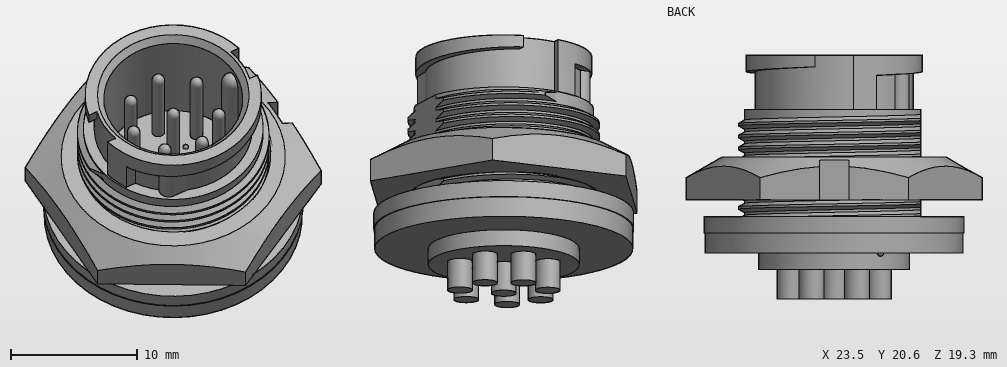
import cadquery as cq
import math

SHELL_TOP = 12.8
SHOULDER_Z = 8.5
SOCKET_FLOOR_Z = 3.5
RIM_BOTTOM = -1.3
FLANGE_BOTTOM = -2.9
INSERT_BOTTOM = -4.2
TAIL_BOTTOM = -6.54

RIM_RADIUS = 10.31
FLANGE_RADIUS = 10.24
INSERT_RADIUS = 5.99

LIP_RADIUS = 6.98
BARREL_RADIUS = 6.27
SOCKET_RADIUS = 5.5
SOCKET_CHAMFER = 0.5
NOTCH_WIDTH = 3.04

RAMP_PITCH = 1.8
RAMP_START_ANGLE = 110
RAMP_END_ANGLE = 265
RAMP_MID_Z = 11.48
RAMP_MARGIN = 1.0
STOP_FACE_X = 3.34
LUG_FACE_X = 5.93
LUG_CORNER_RADIUS = 0.79
LUG_CORNER_Y = 3.29

PITCH = 0.944
ROOT_RADIUS = 7.125
CREST_RADIUS = 7.6
CREST_WIDTH = 0.19
FLANK_SLOPE = math.tan(math.radians(30))
THREAD_TURNS = 9
THREAD_END_ANGLE = -80
THREAD_END_Z = 8.02
THREAD_FLAT_X = -6.87
THREAD_EMBED = 0.1

NUT_FLATS = 20.317
NUT_BOTTOM = 1.33
NUT_HEIGHT = 3.4
NUT_TOP_RADIUS = 8.88
NUT_BEVEL_SLOPE = math.tan(math.radians(30))
NUT_BORE_RADIUS = 7.5
NUT_GROOVE_RADIUS = 7.93
NUT_GROOVE_TURNS = 6
NUT_GROOVE_START_TURN = 1
NUT_NOTCH_WIDTH = 2.35
NUT_NOTCH_FLOOR_Y = 9.28

CONTACT_CIRCLE_RADIUS = 3.6
CONTACT_ANGLES = [-90 + 50 * step for step in range(-3, 4)]
PIN_RADIUS = 0.5
PIN_TIP_Z = 10.75
TAIL_RADIUS = 0.99
KEY_RADIUS = 0.75
KEY_Y = 5.26
KEY_TIP_Z = 11.88

MARK_ANGLE = 123
SOCKET_MARK_RADIUS = 0.22
SOCKET_MARK_CIRCLE = 2.12
FLANGE_MARK_RADIUS = 0.25
FLANGE_MARK_CIRCLE = 6.74

OVERSIZE = 30.0


def cylinder(radius, bottom, top, x=0, y=0):
    return cq.Workplane("XY", origin=(x, y, bottom)).circle(radius).extrude(top - bottom)


def block(x_range, y_range, z_range):
    (x0, x1), (y0, y1), (z0, z1) = x_range, y_range, z_range
    return cq.Workplane("XY").box(x1 - x0, y1 - y0, z1 - z0, centered=False).translate((x0, y0, z0))


def dome(radius, x, y, z):
    return cq.Workplane("XY").sphere(radius).translate((x, y, z))


def polar(radius, angle):
    return radius * math.cos(math.radians(angle)), radius * math.sin(math.radians(angle))


def turn_about_z(body, angle):
    return body.rotate((0, 0, 0), (0, 0, 1), angle)


def thread_helix(profile, start_turn, turns):
    """Sweep a (radius, height) profile along the thread, start_turn turns up from its lower end."""
    path = cq.Workplane("XY").add(cq.Wire.makeHelix(PITCH, PITCH * turns, ROOT_RADIUS))
    body = cq.Workplane("XZ").polyline(profile).close().sweep(path, isFrenet=True)
    start_z = THREAD_END_Z - PITCH * (THREAD_TURNS - start_turn)
    return turn_about_z(body, THREAD_END_ANGLE).translate((0, 0, start_z))


def flange_and_insert():
    rim = cylinder(RIM_RADIUS, RIM_BOTTOM, 0)
    flange = cylinder(FLANGE_RADIUS, FLANGE_BOTTOM, RIM_BOTTOM)
    insert = cylinder(INSERT_RADIUS, INSERT_BOTTOM, FLANGE_BOTTOM)
    x, y = polar(FLANGE_MARK_CIRCLE, MARK_ANGLE)
    mark = dome(FLANGE_MARK_RADIUS, x, y, FLANGE_BOTTOM)
    return rim.union(flange).union(insert).union(mark)


def thread_ridge():
    base_radius = ROOT_RADIUS - THREAD_EMBED
    half_crest = CREST_WIDTH / 2
    half_base = half_crest + (CREST_RADIUS - base_radius) * FLANK_SLOPE
    profile = [
        (base_radius, -half_base),
        (CREST_RADIUS, -half_crest),
        (CREST_RADIUS, half_crest),
        (base_radius, half_base),
    ]
    ridge = thread_helix(profile, 0, THREAD_TURNS)
    end_x, end_y = polar(ROOT_RADIUS, THREAD_END_ANGLE)
    runout = (
        cq.Workplane("XY", origin=(0, 0, THREAD_END_Z - PITCH / 2))
        .polyline([(0, -CREST_RADIUS), (2 * end_x, 2 * end_y + CREST_RADIUS), (2 * end_x, -CREST_RADIUS)])
        .close()
        .extrude(PITCH)
    )
    return ridge.cut(runout)


def threaded_section():
    section = cylinder(ROOT_RADIUS, RIM_BOTTOM, SHOULDER_Z).union(thread_ridge())
    flat = block((-OVERSIZE, THREAD_FLAT_X), (-OVERSIZE, OVERSIZE), (0, SHOULDER_Z))
    return section.cut(flat)


def ramp_recess():
    """Space under the lip on the -X side, its roof rising as a helical ramp from stop to notch."""
    turns = (RAMP_END_ANGLE - RAMP_START_ANGLE) / 360
    inner, outer = (
        cq.Wire.makeHelix(RAMP_PITCH, RAMP_PITCH * turns, radius).Edges()[0]
        for radius in (BARREL_RADIUS - RAMP_MARGIN, LIP_RADIUS + RAMP_MARGIN)
    )
    roof = cq.Face.makeRuledSurface(inner, outer)
    space = cq.Workplane("XY").add(cq.Solid.extrudeLinear(roof, cq.Vector(0, 0, -OVERSIZE)))
    start_z = RAMP_MID_Z - RAMP_PITCH * (180 - RAMP_START_ANGLE) / 360
    space = turn_about_z(space, RAMP_START_ANGLE).translate((0, 0, start_z))
    heights = (SHOULDER_Z, SHELL_TOP)
    stop_side = block((-OVERSIZE, -STOP_FACE_X), (0, OVERSIZE), heights)
    notch_side = block((-OVERSIZE, -NOTCH_WIDTH / 2), (-OVERSIZE, 0), heights)
    return space.intersect(stop_side.union(notch_side))


def bayonet_lug():
    """Raised pad on the -X side of the barrel, flat outside and rounded at its +Y corner."""
    corner_x = LUG_CORNER_RADIUS - LUG_FACE_X
    corner = cylinder(LUG_CORNER_RADIUS, SHOULDER_Z, SHELL_TOP, corner_x, LUG_CORNER_Y)
    pad = block((-LUG_FACE_X, corner_x), (0, LUG_CORNER_Y), (SHOULDER_Z, SHELL_TOP))
    return corner.union(pad)


def bayonet_collar():
    heights = (SHOULDER_Z, SHELL_TOP)
    lip = cylinder(LIP_RADIUS, *heights)
    lip = lip.cut(block((-NOTCH_WIDTH / 2, NOTCH_WIDTH / 2), (-OVERSIZE, OVERSIZE), heights))
    barrel = cylinder(BARREL_RADIUS, *heights)
    for angle in (0, 180):
        lip = lip.cut(turn_about_z(ramp_recess(), angle))
        barrel = barrel.union(turn_about_z(bayonet_lug(), angle))
    return lip.union(barrel)


def socket():
    bore = cylinder(SOCKET_RADIUS, SOCKET_FLOOR_Z, SHELL_TOP)
    mouth = (
        cq.Workplane("XY", origin=(0, 0, SHELL_TOP))
        .circle(SOCKET_RADIUS + SOCKET_CHAMFER)
        .workplane(offset=-SOCKET_CHAMFER)
        .circle(SOCKET_RADIUS)
        .loft()
    )
    return bore.union(mouth)


def round_ended_pin(radius, tip_z, x, y):
    shaft = cylinder(radius, SOCKET_FLOOR_Z, tip_z - radius, x, y)
    return shaft.union(dome(radius, x, y, tip_z - radius))


def make_connector():
    body = flange_and_insert().union(threaded_section()).union(bayonet_collar()).cut(socket())
    contacts = [(0, 0)] + [polar(CONTACT_CIRCLE_RADIUS, angle) for angle in CONTACT_ANGLES]
    for x, y in contacts:
        body = body.union(round_ended_pin(PIN_RADIUS, PIN_TIP_Z, x, y))
        body = body.union(cylinder(TAIL_RADIUS, TAIL_BOTTOM, INSERT_BOTTOM, x, y))
    body = body.union(round_ended_pin(KEY_RADIUS, KEY_TIP_Z, 0, KEY_Y))
    mark_x, mark_y = polar(SOCKET_MARK_CIRCLE, MARK_ANGLE)
    return body.union(dome(SOCKET_MARK_RADIUS, mark_x, mark_y, SOCKET_FLOOR_Z))


def make_nut():
    corner_radius = NUT_FLATS / 2 / math.cos(math.radians(30))
    top = NUT_BOTTOM + NUT_HEIGHT
    bevel_drop = (corner_radius - NUT_TOP_RADIUS) * NUT_BEVEL_SLOPE
    hexagon = (
        cq.Workplane("XY", origin=(0, 0, NUT_BOTTOM)).polygon(6, 2 * corner_radius).extrude(NUT_HEIGHT)
    )
    bevelled_round = (
        cq.Workplane("XZ")
        .polyline([
            (0, NUT_BOTTOM),
            (corner_radius, NUT_BOTTOM),
            (corner_radius, top - bevel_drop),
            (NUT_TOP_RADIUS, top),
            (0, top),
        ])
        .close()
        .revolve(360, (0, 0), (0, 1))
    )
    nut = hexagon.intersect(bevelled_round)
    base_radius = NUT_BORE_RADIUS - THREAD_EMBED
    half_base = (NUT_GROOVE_RADIUS - base_radius) * FLANK_SLOPE
    groove_profile = [(base_radius, -half_base), (NUT_GROOVE_RADIUS, 0), (base_radius, half_base)]
    groove = thread_helix(groove_profile, NUT_GROOVE_START_TURN, NUT_GROOVE_TURNS)
    nut = nut.cut(cylinder(NUT_BORE_RADIUS, 0, SHOULDER_Z).union(groove))
    half_notch = NUT_NOTCH_WIDTH / 2
    notch = block((-half_notch, half_notch), (NUT_NOTCH_FLOOR_Y, OVERSIZE), (NUT_BOTTOM, top))
    return nut.cut(notch)


connector = make_connector()
nut = make_nut()
result = cq.Compound.makeCompound([connector.solids().val(), nut.solids().val()])